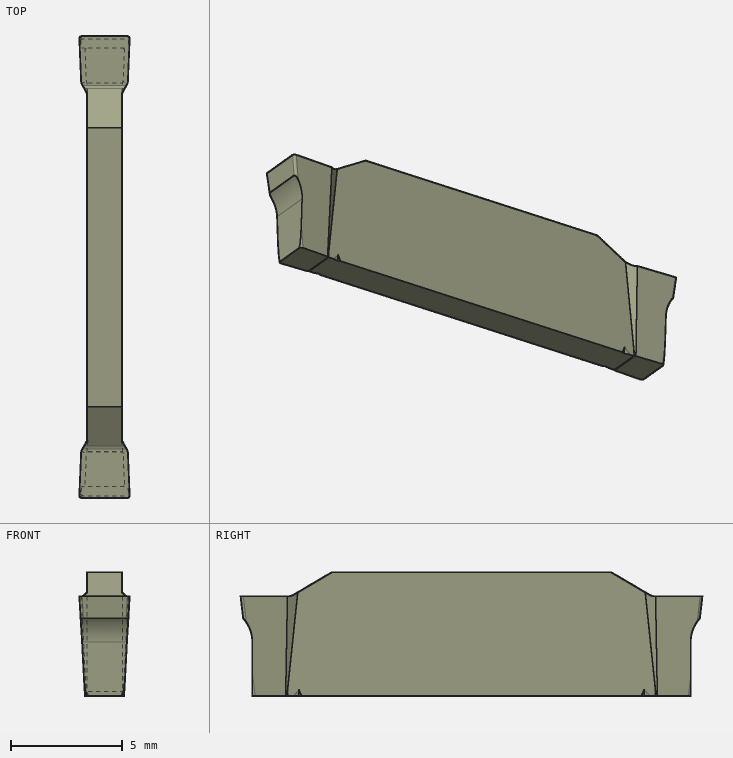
import cadquery as cq
import math

length = 20.65
height = 5.54
head_width = 2.26

web_width = 1.58
ramp_angle = 30.5
crest_setback = 4.09
ramp_foot_setback = 2.34

head_height = 4.47
head_length = 2.10
head_top_length = 2.21
back_lean = math.tan(math.radians(1.0))
front_relief = math.tan(math.radians(6.7))
side_relief = math.tan(math.radians(3.2))
back_taper = math.tan(math.radians(2.4))
corner_radius = 0.12
flare_angle = 60.0

lip_bottom_z = 3.48
shank_top_z = 2.42

nick_setback = 2.61
nick_front_reach = 0.28
nick_back_reach = 0.12
nick_height = 0.28
nick_depth = 0.05

tip_y = length / 2
shank_setback = head_height * front_relief
crest_y = tip_y - crest_setback
ramp_foot_y = tip_y - ramp_foot_setback
ramp_foot_z = height - (crest_setback - ramp_foot_setback) * math.tan(math.radians(ramp_angle))
head_back_y = tip_y - head_length
head_top_back_y = tip_y - head_top_length
shank_y = tip_y - shank_setback
lip_bottom_y = tip_y - (head_height - lip_bottom_z) * front_relief


def relief_arc_middle():
    """Middle point of the concave arc that leaves the shank face tangentially."""
    rise = lip_bottom_z - shank_top_z
    reach = lip_bottom_y - shank_y
    radius = (rise**2 + reach**2) / (2 * reach)
    half_sweep = math.asin(rise / radius) / 2
    return (
        shank_y + radius * (1 - math.cos(half_sweep)),
        shank_top_z + radius * math.sin(half_sweep),
    )


def make_side_profile(width):
    """Half of the part's side outline, from the middle to the +Y tip, extruded to a width centred on X = 0."""
    return (
        cq.Workplane("YZ")
        .moveTo(0, 0)
        .lineTo(shank_y, 0)
        .lineTo(shank_y, shank_top_z)
        .threePointArc(relief_arc_middle(), (lip_bottom_y, lip_bottom_z))
        .lineTo(tip_y, head_height)
        .lineTo(head_top_back_y, head_height)
        .lineTo(ramp_foot_y, ramp_foot_z)
        .lineTo(crest_y, height)
        .lineTo(0, height)
        .close()
        .extrude(width / 2, both=True)
    )


def head_section(z):
    """Plan outline of the head at height z: narrower and shorter towards the base."""
    drop = head_height - z
    front_y = tip_y - drop * front_relief
    back_y = head_back_y + drop * back_lean
    corner_y = front_y - corner_radius
    corner_half = head_width / 2 - drop * side_relief
    back_half = corner_half - (corner_y - back_y) * back_taper
    web_half = web_width / 2
    neck_y = back_y - (back_half - web_half) * math.tan(math.radians(flare_angle))
    flat_half = corner_half - corner_radius
    bulge = corner_radius * math.sqrt(0.5)
    return (
        cq.Workplane("XY", origin=(0, 0, z))
        .moveTo(-web_half, neck_y)
        .lineTo(-back_half, back_y)
        .lineTo(-corner_half, corner_y)
        .threePointArc((-flat_half - bulge, corner_y + bulge), (-flat_half, front_y))
        .lineTo(flat_half, front_y)
        .threePointArc((flat_half + bulge, corner_y + bulge), (corner_half, corner_y))
        .lineTo(back_half, back_y)
        .lineTo(web_half, neck_y)
        .close()
        .wires()
        .val()
    )


def make_head():
    """Tapered head at the +Y end, trimmed to the side outline."""
    flared_block = cq.Solid.makeLoft([head_section(0), head_section(height)], True)
    return make_side_profile(2 * head_width).intersect(cq.Workplane(flared_block))


def make_web():
    """Plate of constant width, ending inside the head."""
    web_box = cq.Workplane("XY").box(web_width, head_back_y, height, centered=(True, False, False))
    return make_side_profile(web_width).intersect(web_box)


def make_nick():
    """Pyramid cutter for the +X side: its triangular base lies on the bottom, its apex on the web side."""
    side_x = web_width / 2
    nick_y = tip_y - nick_setback
    front = cq.Vector(side_x, nick_y + nick_front_reach, 0)
    back = cq.Vector(side_x, nick_y - nick_back_reach, 0)
    deepest = cq.Vector(side_x - nick_depth, nick_y, 0)
    apex = cq.Vector(side_x, nick_y, nick_height)
    corner_sets = (
        (front, back, deepest),
        (front, back, apex),
        (back, deepest, apex),
        (deepest, front, apex),
    )
    faces = [cq.Face.makeFromWires(cq.Wire.makePolygon(corners, close=True)) for corners in corner_sets]
    return cq.Workplane(cq.Solid.makeSolid(cq.Shell.makeShell(faces)))


nick = make_nick()
half = make_web().union(make_head()).cut(nick).cut(nick.mirror("YZ"))
result = half.union(half.mirror("XZ")).clean()